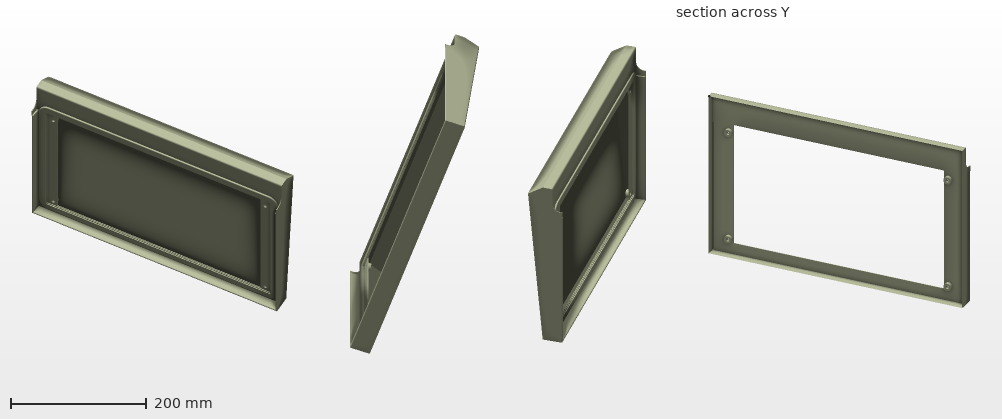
import cadquery as cq
LENGTH = 410.0
DEPTH = 53.7
HEIGHT = 265.0
HALF_LENGTH = LENGTH / 2
TOP_Z = HEIGHT / 2
BOTTOM_Z = -HEIGHT / 2

SHELL_WALL = 1.02

BASE_Y = 15.0
CAVITY_FRONT_Y = BASE_Y + SHELL_WALL
BOTTOM_BACK_Y = 31.0
TOP_BACK_Y = 30.5
SLOPE_BOTTOM_Z = 117.3
CHEEK_TOP_Z = 94.0
CHEEK_ARC_RADIUS = 12.0
TOP_FRONT_RADIUS = 2.5
BACK_EDGE_RADIUS = 2.0

RIM_WIDTH = 2.95
RIM_RADIUS = RIM_WIDTH / 2
RIM_TOP_Z = 84.5
RIM_FOOT_WIDTH = 4.0
CHEEK_THICKNESS = SHELL_WALL

BEZEL_LENGTH = 399.5
BEZEL_TOP_Z = 98.5
BEZEL_BOTTOM_Z = -126.3
BEZEL_HEIGHT = BEZEL_TOP_Z - BEZEL_BOTTOM_Z
BEZEL_Z = (BEZEL_TOP_Z + BEZEL_BOTTOM_Z) / 2
BEZEL_THICKNESS = 2.5
BEZEL_CORNER_RADIUS = 16.5
BEZEL_EDGE_RADIUS = 1.2
WINDOW_LENGTH = 376.5
WINDOW_TOP_Z = 86.5
WINDOW_BOTTOM_Z = -115.5
WINDOW_HEIGHT = WINDOW_TOP_Z - WINDOW_BOTTOM_Z
WINDOW_Z = (WINDOW_TOP_Z + WINDOW_BOTTOM_Z) / 2
WINDOW_CORNER_RADIUS = 3.3
LEDGE_WIDTH = 1.5
LEDGE_THICKNESS = 1.2

OPENING_LENGTH = 339.5
OPENING_TOP_Z = WINDOW_TOP_Z
OPENING_BOTTOM_Z = -112.8

BUSHING_RADIUS = 6.0
BUSHING_BORE_RADIUS = 2.65
BUSHING_LENGTH = 6.0
BUSHING_SPACING_X = 354.2
BUSHING_TOP_Z = 72.0
BUSHING_BOTTOM_Z = -106.5
BUSHING_CENTRES = [
    (x, z)
    for x in (-BUSHING_SPACING_X / 2, BUSHING_SPACING_X / 2)
    for z in (BUSHING_BOTTOM_Z, BUSHING_TOP_Z)
]


def front_plane(y):
    """Work plane facing the front, with local axes X and Z."""
    return cq.Workplane("XZ", origin=(0, y, 0))


def block(x_size, y_range, z_range):
    """Box centred in X between two Y and two Z values."""
    y0, y1 = y_range
    z0, z1 = z_range
    box = cq.Workplane("XY").box(x_size, y1 - y0, z1 - z0, centered=(True, False, False))
    return box.translate((0, y0, z0))


def rounded_slab(length, height, y_front, y_back, z, corner_radius):
    """Upright slab with rounded corners between two Y values."""
    return (
        front_plane(y_back)
        .center(0, z)
        .rect(length, height)
        .extrude(y_back - y_front)
        .edges("|Y")
        .fillet(corner_radius)
    )


def nearest_edge(x, y, z):
    """Selector for the edge whose middle is nearest to a point."""
    return cq.selectors.NearestToPointSelector((x, y, z))


def housing_blank():
    """Filled housing with its cheeks, before the recess and the hollow are cut."""
    arc_end_y = BASE_Y - CHEEK_ARC_RADIUS
    arc_end_z = CHEEK_TOP_Z + CHEEK_ARC_RADIUS
    blank = (
        cq.Workplane("YZ", origin=(-HALF_LENGTH, 0, 0))
        .moveTo(0, BOTTOM_Z)
        .lineTo(0, CHEEK_TOP_Z)
        .lineTo(arc_end_y, CHEEK_TOP_Z)
        .radiusArc((BASE_Y, arc_end_z), -CHEEK_ARC_RADIUS)
        .lineTo(BASE_Y, TOP_Z)
        .lineTo(TOP_BACK_Y, TOP_Z)
        .lineTo(DEPTH, SLOPE_BOTTOM_Z)
        .lineTo(BOTTOM_BACK_Y, BOTTOM_Z)
        .close()
        .extrude(LENGTH)
    )
    blank = blank.edges(nearest_edge(0, BASE_Y, TOP_Z)).fillet(TOP_FRONT_RADIUS)
    back_middle_y = (DEPTH + BOTTOM_BACK_Y) / 2
    back_middle_z = (SLOPE_BOTTOM_Z + BOTTOM_Z) / 2
    left_edge = nearest_edge(-HALF_LENGTH, back_middle_y, back_middle_z)
    right_edge = nearest_edge(HALF_LENGTH, back_middle_y, back_middle_z)
    return blank.edges(left_edge + right_edge).fillet(BACK_EDGE_RADIUS)


def front_recess():
    """Space in front of the front face: wide between the cheeks, drafted between the rims."""
    upper = block(LENGTH - 2 * CHEEK_THICKNESS, (0, BASE_Y), (RIM_TOP_Z, TOP_Z))
    floor_z = BOTTOM_Z + RIM_WIDTH
    mouth_x = HALF_LENGTH - RIM_WIDTH
    foot_x = HALF_LENGTH - RIM_FOOT_WIDTH
    lower = (
        cq.Workplane("XY", origin=(0, 0, floor_z))
        .polyline(
            [
                (-mouth_x, 0),
                (-mouth_x, RIM_RADIUS),
                (-foot_x, BASE_Y),
                (foot_x, BASE_Y),
                (mouth_x, RIM_RADIUS),
                (mouth_x, 0),
            ]
        )
        .close()
        .extrude(RIM_TOP_Z - floor_z)
    )
    return upper.union(lower)


def rounded_rim():
    """Half-round nose along both sides and the bottom, mitred at the corners."""
    nose_x = HALF_LENGTH - RIM_RADIUS
    path = (
        cq.Workplane("XZ", origin=(0, RIM_RADIUS, 0))
        .moveTo(-nose_x, RIM_TOP_Z)
        .lineTo(-nose_x, BOTTOM_Z + RIM_RADIUS)
        .lineTo(nose_x, BOTTOM_Z + RIM_RADIUS)
        .lineTo(nose_x, RIM_TOP_Z)
    )
    return (
        cq.Workplane("XY", origin=(0, 0, RIM_TOP_Z))
        .moveTo(-HALF_LENGTH, RIM_RADIUS)
        .threePointArc((-nose_x, 0), (-HALF_LENGTH + RIM_WIDTH, RIM_RADIUS))
        .close()
        .sweep(path, transition="right")
    )


def cavity():
    """Inside of the housing, one wall thickness within its side outline."""
    return (
        cq.Workplane("YZ", origin=(-HALF_LENGTH + SHELL_WALL, 0, 0))
        .moveTo(BASE_Y, BOTTOM_Z)
        .lineTo(BASE_Y, TOP_Z)
        .lineTo(TOP_BACK_Y, TOP_Z)
        .lineTo(DEPTH, SLOPE_BOTTOM_Z)
        .lineTo(BOTTOM_BACK_Y, BOTTOM_Z)
        .close()
        .offset2D(-SHELL_WALL)
        .extrude(LENGTH - 2 * SHELL_WALL)
    )


def rim_hollow(side):
    """Narrow space inside one side rim, open to the cavity; side is -1 or 1 along X."""
    outer_x = HALF_LENGTH - SHELL_WALL
    mouth_x = HALF_LENGTH - RIM_WIDTH + SHELL_WALL
    foot_x = HALF_LENGTH - RIM_FOOT_WIDTH + SHELL_WALL
    floor_z = BOTTOM_Z + SHELL_WALL
    return (
        cq.Workplane("XY", origin=(0, 0, floor_z))
        .moveTo(side * outer_x, RIM_RADIUS)
        .lineTo(side * mouth_x, RIM_RADIUS)
        .lineTo(side * foot_x, CAVITY_FRONT_Y)
        .lineTo(side * outer_x, CAVITY_FRONT_Y)
        .close()
        .extrude(RIM_TOP_Z - SHELL_WALL - floor_z)
    )


def make_housing():
    """Hollow housing with its front recess, rims, opening and bushing holes."""
    squared_rim = block(LENGTH, (0, RIM_RADIUS), (BOTTOM_Z, RIM_TOP_Z))
    opening = block(
        OPENING_LENGTH,
        (BASE_Y, CAVITY_FRONT_Y),
        (OPENING_BOTTOM_Z, OPENING_TOP_Z),
    )
    bushing_holes = (
        front_plane(CAVITY_FRONT_Y)
        .pushPoints(BUSHING_CENTRES)
        .circle(BUSHING_RADIUS)
        .extrude(SHELL_WALL)
    )
    hollow_space = cavity().union(rim_hollow(-1)).union(rim_hollow(1))
    return (
        housing_blank()
        .cut(front_recess())
        .cut(squared_rim)
        .union(rounded_rim())
        .cut(hollow_space)
        .cut(opening)
        .cut(bushing_holes)
    )


def make_bezel():
    """Rounded frame with a stepped window."""
    front_y = BASE_Y - BEZEL_THICKNESS
    ledge_y = BASE_Y - LEDGE_THICKNESS
    frame = (
        rounded_slab(BEZEL_LENGTH, BEZEL_HEIGHT, front_y, BASE_Y, BEZEL_Z, BEZEL_CORNER_RADIUS)
        .faces("<Y")
        .edges()
        .fillet(BEZEL_EDGE_RADIUS)
    )
    window = rounded_slab(
        WINDOW_LENGTH, WINDOW_HEIGHT, front_y, ledge_y, WINDOW_Z, WINDOW_CORNER_RADIUS
    )
    inner_window = rounded_slab(
        WINDOW_LENGTH - 2 * LEDGE_WIDTH,
        WINDOW_HEIGHT - 2 * LEDGE_WIDTH,
        ledge_y,
        BASE_Y,
        WINDOW_Z,
        WINDOW_CORNER_RADIUS - LEDGE_WIDTH,
    )
    return frame.cut(window).cut(inner_window)


def make_bushing(x, z):
    """Bored bushing whose front end is flush with the front face of the housing."""
    return (
        front_plane(BASE_Y + BUSHING_LENGTH)
        .center(x, z)
        .circle(BUSHING_RADIUS)
        .circle(BUSHING_BORE_RADIUS)
        .extrude(BUSHING_LENGTH)
    )


housing = make_housing()
bezel = make_bezel()
bushings = [make_bushing(x, z).val() for x, z in BUSHING_CENTRES]

result = cq.Compound.makeCompound([housing.val(), bezel.val(), *bushings])